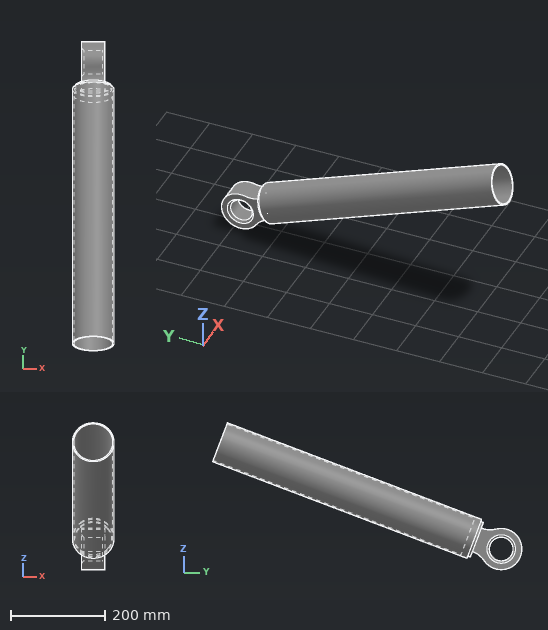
import cadquery as cq
import math

tilt_angle = 20.8
tube_diameter = 89.0
tube_wall = 2.95
tube_start = 61.0
tube_end = 639.0
bore_diameter = tube_diameter - 2 * tube_wall

plug_diameter = 79.0
plug_protrusion = 6.0
plug_insertion = 14.5
plug_face = tube_start - plug_protrusion
plug_back = tube_start + plug_insertion

eye_radius = 44.0
eye_width = 50.0
hole_radius = 25.0
hole_chamfer = 5.0
neck_radius = 52.5


def disc(diameter, start, end):
    """Solid cylinder on the tube axis between two distances from the eye."""
    return cq.Workplane("XZ", origin=(0, -start, 0)).circle(diameter / 2).extrude(end - start)


def make_tube():
    return disc(tube_diameter, tube_start, tube_end).cut(disc(bore_diameter, tube_start, tube_end))


def make_plug():
    """Stepped plug: the inserted part fills the bore."""
    return disc(plug_diameter, plug_face, plug_back).union(disc(bore_diameter, tube_start, plug_back))


def make_eye():
    """Ring whose neck arcs touch it tangentially and meet the plug square."""
    arc_sum = eye_radius + neck_radius
    tangent_angle = math.acos(plug_face / arc_sum)
    arc_center_z = arc_sum * math.sin(tangent_angle)
    tangent_y = -eye_radius * math.cos(tangent_angle)
    tangent_z = eye_radius * math.sin(tangent_angle)
    neck_half_height = arc_center_z - neck_radius

    middle_angle = (tangent_angle + math.pi / 2) / 2
    middle_y = -plug_face + neck_radius * math.cos(middle_angle)
    middle_z = arc_center_z - neck_radius * math.sin(middle_angle)

    body = (
        cq.Workplane("YZ")
        .moveTo(tangent_y, tangent_z)
        .threePointArc((eye_radius, 0), (tangent_y, -tangent_z))
        .threePointArc((middle_y, -middle_z), (-plug_face, -neck_half_height))
        .lineTo(-plug_face, neck_half_height)
        .threePointArc((middle_y, middle_z), (tangent_y, tangent_z))
        .close()
        .extrude(eye_width / 2, both=True)
    )
    hole = (
        cq.Workplane("YZ")
        .circle(hole_radius)
        .extrude(eye_width / 2, both=True)
    )
    return body.cut(hole).edges(cq.selectors.RadiusNthSelector(0)).chamfer(hole_chamfer)


straight_part = make_tube().union(make_plug()).union(make_eye())
result = straight_part.rotate((0, 0, 0), (1, 0, 0), -tilt_angle)